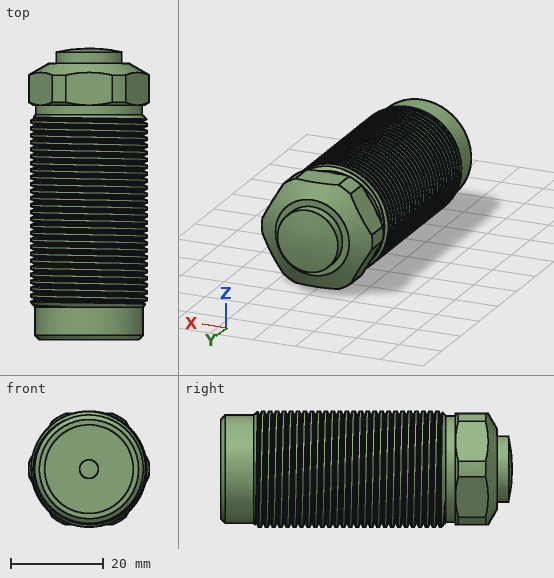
import cadquery as cq
import math

length = 62.8

collar_radius = 11.7
collar_end = 7.1
collar_chamfer = 1.0
recess_radius = 9.55
recess_depth = 1.5
port_radius = 2.0
port_depth = 6.0

thread_radius = 12.5
thread_depth = 0.75
groove_turns = 28
groove_mouth = 0.95
groove_floor = 0.3
groove_clearance = 0.2
groove_start = 6.5
groove_length = 42.0
thread_pitch = groove_length / groove_turns
thread_end = 48.45
thread_chamfer = 1.0
neck_radius = 11.5

nut_start = 50.5
nut_end = 59.5
nut_radius = 13.0
flat_distance = 12.0
nut_top_radius = 8.65
nut_top_taper = 2.5
nut_bottom_chamfer = 0.6

button_radius = 7.1
dome_height = 0.8


def revolve_about_y(outline):
    return outline.close().revolve(360, (0, 0, 0), (0, 1, 0))


def make_body():
    """Collar, threaded barrel blank and neck, reaching up to the nut."""
    outline = (
        cq.Workplane("XY")
        .lineTo(collar_radius - collar_chamfer, 0)
        .lineTo(collar_radius, collar_chamfer)
        .lineTo(collar_radius, collar_end)
        .lineTo(thread_radius, collar_end + thread_chamfer)
        .lineTo(thread_radius, thread_end - thread_chamfer)
        .lineTo(neck_radius, thread_end)
        .lineTo(neck_radius, nut_start)
        .lineTo(0, nut_start)
    )
    return revolve_about_y(outline)


def make_groove_turn():
    """One left-hand turn of the thread groove, starting at Y = 0 on the +X side."""
    root_radius = thread_radius - thread_depth
    cutter_radius = thread_radius + groove_clearance
    flank_slope = (groove_mouth - groove_floor) / 2 / thread_depth
    cutter_half_width = groove_mouth / 2 + groove_clearance * flank_slope
    helix = cq.Wire.makeHelix(thread_pitch, thread_pitch, root_radius, lefthand=True)
    turn = (
        cq.Workplane("XZ")
        .polyline([
            (root_radius, -groove_floor / 2),
            (cutter_radius, -cutter_half_width),
            (cutter_radius, cutter_half_width),
            (root_radius, groove_floor / 2),
        ])
        .close()
        .sweep(cq.Workplane(obj=helix), isFrenet=True)
    )
    return turn.rotate((0, 0, 0), (1, 0, 0), -90)


def cut_thread(body):
    """Cut the groove turn by turn, running out through both end chamfers."""
    turn = make_groove_turn()
    for index in range(groove_turns):
        body = body.cut(turn.translate((0, groove_start + index * thread_pitch, 0)))
    return body


def make_nut():
    """Hexagon with flats facing Z, trimmed by a turned envelope."""
    corner_diameter = 2 * flat_distance / math.cos(math.pi / 6)
    hexagon = (
        cq.Workplane("XZ", origin=(0, nut_start, 0))
        .polygon(6, corner_diameter)
        .extrude(nut_start - nut_end)
    )
    envelope = revolve_about_y(
        cq.Workplane("XY")
        .moveTo(0, nut_start)
        .lineTo(flat_distance, nut_start)
        .lineTo(nut_radius, nut_start + nut_bottom_chamfer)
        .lineTo(nut_radius, nut_end - nut_top_taper)
        .lineTo(nut_top_radius, nut_end)
        .lineTo(0, nut_end)
    )
    return hexagon.intersect(envelope)


def make_button():
    """Round button with a spherical crown."""
    crown_radius = (button_radius**2 + dome_height**2) / (2 * dome_height)
    half_angle = math.asin(button_radius / crown_radius) / 2
    crown_middle = (
        crown_radius * math.sin(half_angle),
        length - crown_radius * (1 - math.cos(half_angle)),
    )
    return revolve_about_y(
        cq.Workplane("XY")
        .moveTo(0, nut_end)
        .lineTo(button_radius, nut_end)
        .lineTo(button_radius, length - dome_height)
        .threePointArc(crown_middle, (0, length))
    )


def make_front_pocket(radius, start, depth):
    return cq.Workplane("XZ", origin=(0, start, 0)).circle(radius).extrude(-depth)


recess = make_front_pocket(recess_radius, 0, recess_depth)
port = make_front_pocket(port_radius, recess_depth, port_depth)

result = (
    cut_thread(make_body())
    .union(make_nut())
    .union(make_button())
    .cut(recess)
    .cut(port)
)